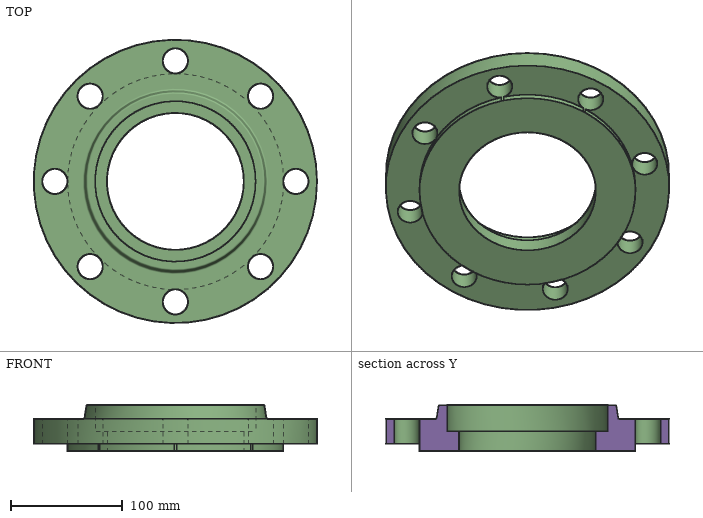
import cadquery as cq

flange_diameter = 254.0
flange_thickness = 22.3
raised_face_diameter = 193.5
raised_face_height = 6.3
total_height = 41.5

hub_foot_radius = 81.8
hub_rim_radius = 79.7
hub_fillet_radius = 1.5

bore_diameter = 122.5
socket_diameter = 143.7
socket_depth = 23.5

bolt_count = 8
bolt_circle_radius = 108.0
bolt_hole_diameter = 22.3

rib_count = 8
rib_width = 2.3
rib_height = 0.2
rib_root_depth = 2.5

raised_face_radius = raised_face_diameter / 2
flange_top = raised_face_height + flange_thickness


def flange_disc():
    """Flange disc standing on its raised face."""
    raised_face = cq.Workplane("XY").circle(raised_face_radius).extrude(raised_face_height)
    disc = (
        cq.Workplane("XY")
        .workplane(offset=raised_face_height)
        .circle(flange_diameter / 2)
        .extrude(flange_thickness)
    )
    return raised_face.union(disc)


def add_hub(body):
    """Join the tapered hub to the flange and round its rim and foot."""
    profile = [
        (0, flange_top),
        (hub_foot_radius, flange_top),
        (hub_rim_radius, total_height),
        (0, total_height),
    ]
    hub = cq.Workplane("XZ").polyline(profile).close().revolve(360, (0, 0), (0, 1))
    body = body.union(hub)
    body = body.faces(">Z").edges().fillet(hub_fillet_radius)
    foot_circle = cq.selectors.RadiusNthSelector(0)
    return body.faces("|Z").faces(">Z[-2]").edges(foot_circle).fillet(hub_fillet_radius)


def stepped_bore():
    """Through bore with the wider pipe socket above it."""
    bore = cq.Workplane("XY").circle(bore_diameter / 2).extrude(total_height)
    socket = (
        cq.Workplane("XY")
        .workplane(offset=total_height - socket_depth)
        .circle(socket_diameter / 2)
        .extrude(socket_depth)
    )
    return bore.union(socket)


def bolt_holes():
    """Through holes evenly spaced on the bolt circle."""
    return (
        cq.Workplane("XY")
        .polarArray(bolt_circle_radius, 0, 360, bolt_count)
        .circle(bolt_hole_diameter / 2)
        .extrude(flange_top)
    )


def side_ribs():
    """Upright ribs rooted in the raised face, standing slightly proud of its side."""
    rib_length = rib_root_depth + rib_height
    rib_center_radius = raised_face_radius + rib_height - rib_length / 2
    return (
        cq.Workplane("XY")
        .polarArray(rib_center_radius, 0, 360, rib_count)
        .rect(rib_length, rib_width)
        .extrude(raised_face_height)
    )


result = add_hub(flange_disc()).union(side_ribs()).cut(stepped_bore()).cut(bolt_holes())